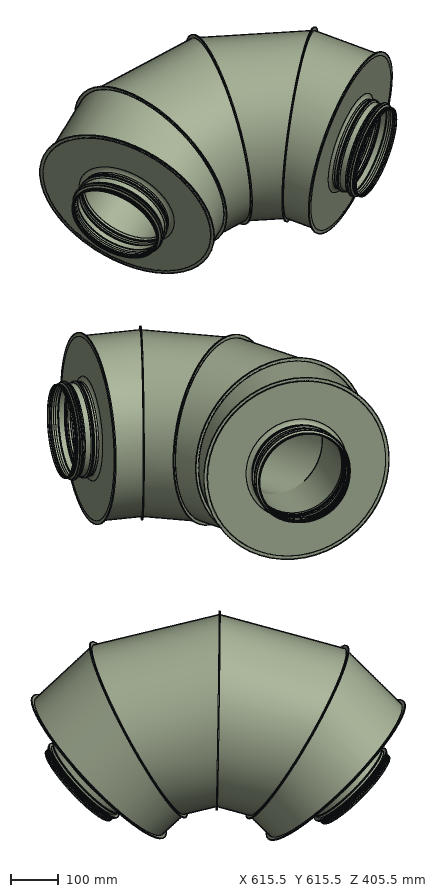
import cadquery as cq
import math


OVERALL = 615.5
BEND_RADIUS = 322.5
SEAM_ANGLES = (165, 135, 105)
SEAM_TILT = math.radians(15)
END_OFFSET = 31.0

SHEET = 0.5
JACKET_RADIUS = 391.5 / 2
JACKET_BORE = JACKET_RADIUS - SHEET
RIM_RADIUS = 405.5 / 2
RIM_THICKNESS = 2.5

SPIGOT_LENGTH = OVERALL - RIM_RADIUS - BEND_RADIUS - END_OFFSET
SPIGOT_RADIUS = 199.0 / 2
SPIGOT_BORE = SPIGOT_RADIUS - SHEET
COLLAR_RADIUS = SPIGOT_RADIUS + SHEET
COLLAR_LENGTH = 9.0
FLARE_RADIUS = 111.0
FLARE_LENGTH = 5.25
FLARE_MIDDLE = (104.5, 1.55)
BEAD_START = 14.0
BEAD_WIDTH = 8.0
BEAD_SLOPE = 2.5
BEAD_RADIUS = 205.5 / 2
GROOVE_START = 34.5
GROOVE_END = 55.0
GROOVE_SLOPE = 2.5
GROOVE_RADIUS = 194.0 / 2
HEM_LENGTH = 3.0

PIPE_RADIUS = SPIGOT_BORE
PIPE_BORE = PIPE_RADIUS - SHEET

SEAL_RADIUS = PIPE_BORE
LARGE_LIP_START = 42.0
LARGE_LIP_RADIUS = 210.0 / 2
SMALL_LIP_RADIUS = 205.5 / 2
LIP_PITCH = 4.5
LIP_TIP = 2.0

END_PLANES = (
    cq.Plane(origin=(-BEND_RADIUS, -END_OFFSET, 0), xDir=(1, 0, 0), normal=(0, -1, 0)),
    cq.Plane(origin=(END_OFFSET, BEND_RADIUS, 0), xDir=(0, 1, 0), normal=(1, 0, 0)),
)


def seam_point(angle):
    """Point where the duct axis crosses the mitre seam at this angle."""
    reach = BEND_RADIUS / math.cos(SEAM_TILT)
    return (reach * math.cos(math.radians(angle)), reach * math.sin(math.radians(angle)))


def mitred_elbow(radius, end_offset=END_OFFSET):
    """Solid elbow of four straight lengths that meet at mitre seams."""
    points = [(-BEND_RADIUS, -end_offset)]
    points += [seam_point(angle) for angle in SEAM_ANGLES]
    points += [(end_offset, BEND_RADIUS)]
    path = cq.Workplane("XY").polyline(points)
    start = cq.Plane(origin=(-BEND_RADIUS, -end_offset, 0), xDir=(1, 0, 0), normal=(0, 1, 0))
    return cq.Workplane(start).circle(radius).sweep(path, transition="right")


def seam_rim(angle):
    """Elliptical rim standing proud of the jacket along one mitre seam."""
    x, y = seam_point(angle)
    along = (math.cos(math.radians(angle)), math.sin(math.radians(angle)), 0)
    across = (-along[1], along[0], 0)
    plane = cq.Plane(origin=(x, y, 0), xDir=along, normal=across)
    half_thickness = RIM_THICKNESS / 2
    long_radius = (RIM_RADIUS - half_thickness * math.sin(SEAM_TILT)) / math.cos(SEAM_TILT)
    return cq.Workplane(plane).ellipse(long_radius, RIM_RADIUS).extrude(half_thickness, both=True)


def make_jacket():
    """Sheet elbow with a rim at each seam and at each end."""
    jacket = mitred_elbow(JACKET_RADIUS)
    for angle in SEAM_ANGLES:
        jacket = jacket.union(seam_rim(angle))
    for plane in END_PLANES:
        jacket = jacket.union(cq.Workplane(plane).circle(RIM_RADIUS).extrude(-RIM_THICKNESS))
    return jacket.cut(mitred_elbow(JACKET_BORE))


def make_insulation():
    """Filling between the jacket and the inner pipe, flush with the end faces."""
    return mitred_elbow(JACKET_BORE).cut(mitred_elbow(PIPE_RADIUS))


def revolve_on(plane, profile):
    """Revolve a closed (radius, axial position) profile about the outward normal of a plane."""
    ring = profile.revolve(360, (0, 0, 0), (0, 1, 0)).val()
    upright = ring.rotate(cq.Vector(0, 0, 0), cq.Vector(1, 0, 0), 90)
    return upright.moved(cq.Location(plane))


def rolled_wall(radius, bead_radius, groove_radius, bead_inset):
    """Points of one spigot surface from the start of the bead to the end of the seal groove."""
    bead_end = BEAD_START + BEAD_WIDTH
    return [
        (radius, BEAD_START + bead_inset),
        (bead_radius, BEAD_START + BEAD_SLOPE + bead_inset),
        (bead_radius, bead_end - BEAD_SLOPE - bead_inset),
        (radius, bead_end - bead_inset),
        (radius, GROOVE_START),
        (groove_radius, GROOVE_START + GROOVE_SLOPE),
        (groove_radius, GROOVE_END - GROOVE_SLOPE),
        (radius, GROOVE_END),
    ]


def make_spigot(plane):
    """Thin sleeve with a flared collar, a stop bead, a rolled seal groove and a hemmed end."""
    outside = rolled_wall(SPIGOT_RADIUS, BEAD_RADIUS, GROOVE_RADIUS, 0)
    inside = rolled_wall(SPIGOT_BORE, BEAD_RADIUS - SHEET, GROOVE_RADIUS - SHEET, SHEET)
    profile = (
        cq.Workplane("XY")
        .moveTo(SPIGOT_BORE, 0)
        .lineTo(FLARE_RADIUS, 0)
        .threePointArc(FLARE_MIDDLE, (COLLAR_RADIUS, FLARE_LENGTH))
        .lineTo(COLLAR_RADIUS, COLLAR_LENGTH)
        .lineTo(SPIGOT_RADIUS, COLLAR_LENGTH)
        .polyline(outside, includeCurrent=True)
        .lineTo(SPIGOT_RADIUS, SPIGOT_LENGTH)
        .lineTo(SPIGOT_BORE - SHEET, SPIGOT_LENGTH)
        .lineTo(SPIGOT_BORE - SHEET, SPIGOT_LENGTH - HEM_LENGTH)
        .lineTo(SPIGOT_BORE, SPIGOT_LENGTH - HEM_LENGTH)
        .polyline(inside[::-1], includeCurrent=True)
        .close()
    )
    return cq.Workplane(revolve_on(plane, profile))


def make_inner_pipe():
    """Mitred pipe joined to a spigot at each end."""
    pipe_end = END_OFFSET + COLLAR_LENGTH
    pipe = mitred_elbow(PIPE_RADIUS, pipe_end).cut(mitred_elbow(PIPE_BORE, pipe_end))
    for plane in END_PLANES:
        pipe = pipe.union(make_spigot(plane))
    return pipe


def make_seal(plane):
    """Rubber ring in the groove with a large and a small lip."""
    seal_start = GROOVE_START + GROOVE_SLOPE
    seal_end = GROOVE_END - GROOVE_SLOPE
    small_lip_start = LARGE_LIP_START + LIP_PITCH
    profile = (
        cq.Workplane("XY")
        .moveTo(GROOVE_RADIUS, seal_start)
        .lineTo(SEAL_RADIUS, seal_start)
        .lineTo(SEAL_RADIUS, LARGE_LIP_START)
        .lineTo(LARGE_LIP_RADIUS, LARGE_LIP_START)
        .lineTo(LARGE_LIP_RADIUS, LARGE_LIP_START + LIP_TIP)
        .lineTo(SEAL_RADIUS, small_lip_start)
        .lineTo(SMALL_LIP_RADIUS, small_lip_start)
        .lineTo(SMALL_LIP_RADIUS, small_lip_start + LIP_TIP)
        .lineTo(SEAL_RADIUS, small_lip_start + LIP_PITCH)
        .lineTo(SEAL_RADIUS, seal_end)
        .lineTo(GROOVE_RADIUS, seal_end)
        .close()
    )
    return revolve_on(plane, profile)


jacket = make_jacket()
insulation = make_insulation()
inner_pipe = make_inner_pipe()
seals = [make_seal(plane) for plane in END_PLANES]

result = cq.Compound.makeCompound([jacket.val(), insulation.val(), inner_pipe.val(), *seals])